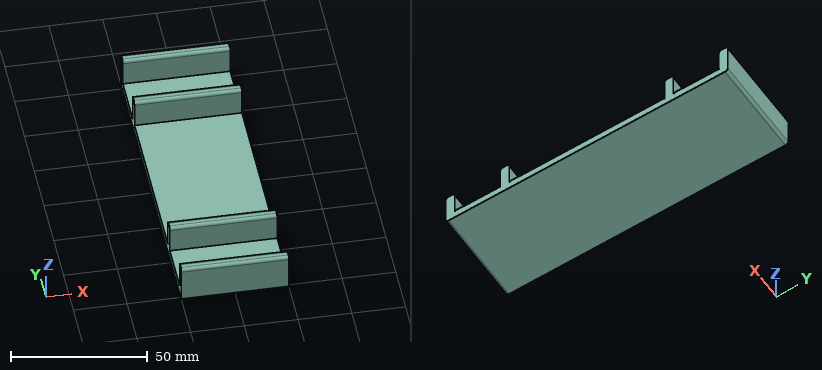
import cadquery as cq

length = 124.0
width = 40.0
height = 15.0
thickness = 4.0
channel_width = 20.0
edge_radius = 1.2

end_wall_y = (length - thickness) / 2
inner_wall_y = end_wall_y - thickness - channel_width


def make_base():
    """Flat plate with its two lower end edges rounded."""
    plate = cq.Workplane("XY").box(width, length, thickness, centered=(True, True, False))
    return plate.edges("|X and <Z").fillet(edge_radius)


def make_wall(y):
    """Upright wall on the base, with both long top edges rounded."""
    wall_height = height - thickness
    wall = cq.Workplane("XY").box(width, thickness, wall_height, centered=(True, True, False))
    return wall.edges("|X and >Z").fillet(edge_radius).translate((0, y, thickness))


result = make_base()
for wall_y in (-end_wall_y, -inner_wall_y, inner_wall_y, end_wall_y):
    result = result.union(make_wall(wall_y))
result = result.clean()